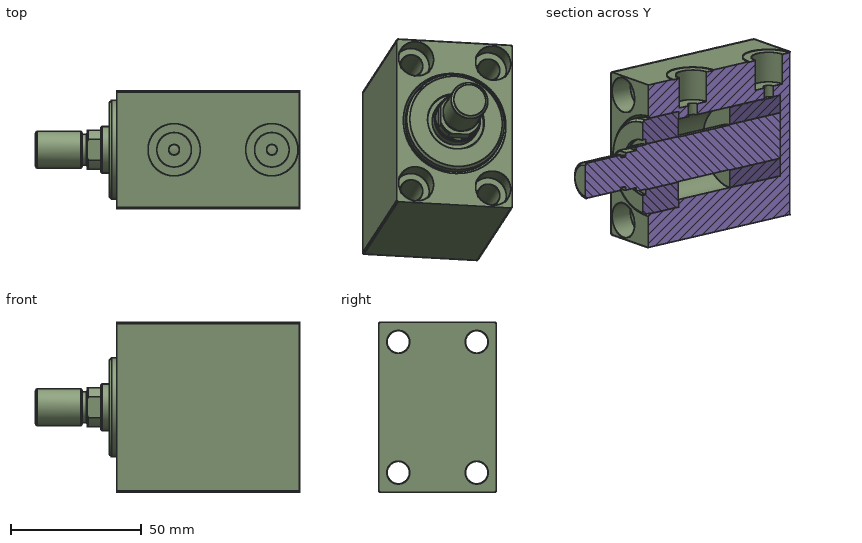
import cadquery as cq


overall_length = 101.0
housing_length = 70.0
housing_width = 45.0
housing_height = 65.0
edge_chamfer = 0.5

bore_diameter = 32.0
end_wall = 4.9
bore_end = housing_length - end_wall

bolt_spacing_y = 30.0
bolt_spacing_z = 50.0
bolt_hole_diameter = 8.6
bolt_head_diameter = 13.6
bolt_head_depth = 9.0

port_positions = (22.0, 59.4)
port_diameter = 13.2
port_depth = 12.0
port_face_diameter = 20.0
port_face_depth = 0.2
oil_hole_diameter = 4.0

gland_diameter = 38.0
gland_seat_depth = 15.0
gland_projection = 2.8
gland_chamfer = 1.0
wiper_recess_diameter = 22.0
wiper_recess_depth = 1.5

piston_length = 25.0

rod_diameter = 18.0
rod_shoulder_chamfer = 0.5
rod_tip_x = housing_length - overall_length
thread_diameter = 14.2
thread_length = 17.4
thread_tip_chamfer_length = 0.6
thread_tip_diameter = 12.4
neck_diameter = 12.0
neck_taper_length = 0.6
neck_root_chamfer = 0.4
wrench_start = 19.9
wrench_end = 25.0
wrench_diameter = 17.1
wrench_chamfer = 0.3
wrench_across_flats = 15.0


def x_cylinder(diameter, start, end):
    """Solid cylinder on the X axis between two X positions."""
    return cq.Workplane("YZ", origin=(start, 0, 0)).circle(diameter / 2).extrude(end - start)


def z_cylinder(diameter, x, bottom, top):
    """Solid vertical cylinder in the plane Y = 0."""
    return cq.Workplane("XY", origin=(x, 0, bottom)).circle(diameter / 2).extrude(top - bottom)


def cut_bolt_holes(block):
    """Four through holes with a recess for the screw head in the front face."""
    return (
        block.faces("<X")
        .workplane(centerOption="CenterOfBoundBox")
        .rarray(bolt_spacing_y, bolt_spacing_z, 2, 2)
        .cboreHole(bolt_hole_diameter, bolt_head_diameter, bolt_head_depth)
    )


def port_cutter(x):
    """Shallow sealing face, port bore and the narrow hole into the cylinder bore."""
    top = housing_height / 2
    sealing_face = z_cylinder(port_face_diameter, x, top - port_face_depth, top)
    port = z_cylinder(port_diameter, x, top - port_depth, top)
    oil_hole = z_cylinder(oil_hole_diameter, x, 0, top)
    return sealing_face.union(port).union(oil_hole)


def gland_seat_cutter():
    """Seat for the gland with a chamfered mouth."""
    seat_radius = gland_diameter / 2
    return (
        cq.Workplane("XY")
        .moveTo(0, 0)
        .lineTo(0, seat_radius + gland_chamfer)
        .lineTo(gland_chamfer, seat_radius)
        .lineTo(gland_seat_depth, seat_radius)
        .lineTo(gland_seat_depth, 0)
        .close()
        .revolve(360, (0, 0, 0), (1, 0, 0))
    )


def make_housing():
    block = cq.Workplane("XY").box(
        housing_length, housing_width, housing_height, centered=(False, True, True)
    )
    block = block.edges("|X").chamfer(edge_chamfer)
    block = cut_bolt_holes(block)
    block = block.cut(x_cylinder(bore_diameter, 0, bore_end))
    block = block.cut(gland_seat_cutter())
    for x in port_positions:
        block = block.cut(port_cutter(x))
    return block


def make_gland():
    body = x_cylinder(gland_diameter, -gland_projection, gland_seat_depth)
    body = body.faces("<X").edges().chamfer(gland_chamfer)
    recess_floor = wiper_recess_depth - gland_projection
    body = body.cut(x_cylinder(wiper_recess_diameter, -gland_projection, recess_floor))
    return body.cut(x_cylinder(rod_diameter, -gland_projection, gland_seat_depth))


def make_piston():
    piston_start = bore_end - piston_length
    ring = x_cylinder(bore_diameter, piston_start, bore_end)
    return ring.cut(x_cylinder(rod_diameter, piston_start, bore_end))


def make_threaded_end():
    """Threaded stud, chamfered at the tip and tapering into a neck that flares at its root."""
    return (
        cq.Workplane("XY", origin=(rod_tip_x, 0, 0))
        .moveTo(0, 0)
        .lineTo(0, thread_tip_diameter / 2)
        .lineTo(thread_tip_chamfer_length, thread_diameter / 2)
        .lineTo(thread_length, thread_diameter / 2)
        .lineTo(thread_length + neck_taper_length, neck_diameter / 2)
        .lineTo(wrench_start - neck_root_chamfer, neck_diameter / 2)
        .lineTo(wrench_start, neck_diameter / 2 + neck_root_chamfer)
        .lineTo(wrench_start, 0)
        .close()
        .revolve(360, (0, 0, 0), (1, 0, 0))
    )


def make_wrench_section():
    """Round collar with four wrench flats."""
    start = rod_tip_x + wrench_start
    end = rod_tip_x + wrench_end
    collar = x_cylinder(wrench_diameter, start, end).faces("<X").edges().chamfer(wrench_chamfer)
    square = (
        cq.Workplane("YZ", origin=(start, 0, 0))
        .rect(wrench_across_flats, wrench_across_flats)
        .extrude(end - start)
    )
    return collar.intersect(square)


def make_rod():
    shank = x_cylinder(rod_diameter, rod_tip_x + wrench_end, bore_end)
    shank = shank.faces("<X").edges().chamfer(rod_shoulder_chamfer)
    return shank.union(make_wrench_section()).union(make_threaded_end())


housing = make_housing()
gland = make_gland()
piston = make_piston()
rod = make_rod()

bodies = [housing, gland, piston, rod]
result = cq.Compound.makeCompound([body.solids().val() for body in bodies])